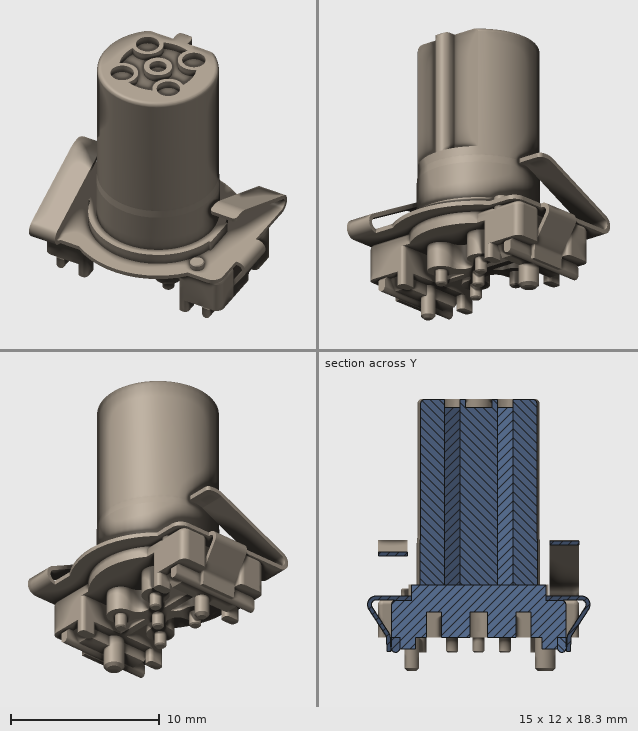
import cadquery as cq
import math

PAD_Z = 1.48
TAIL_Z = 1.26
BASE_Z = 2.25
FLANGE_Z = 3.99
PLATE_Z = 4.8
FLANGE_TOP = 5.84
CONE_Z = 8.6
CONE_TOP = 9.13
NOTCH_Z = 9.75
TOP_Z = 18.3

BASE_X = 6.75
BASE_Y = 3.62
BASE_CORNER = 0.53
TOP_FILLET = 0.31
FLANGE_R = 4.7
KEY_Y = 1.17
OPENING_X = 3.51
OPENING_EDGE = 0.3
CROSS_WALL = 0.55
COLUMN_R = 0.95
SLOT_Y = 1.5
SLOT_CORNER = 0.33
FOOT_X = 0.71
FOOT_Y = 1.19
FOOT_FILLET = 0.27
STAKE_AT = (-4.72, 3.11)
STAKE_R = 0.5
STAKE_TOP = 5.55
STAKE_CHAMFER = 0.07
RELIEF_R = 0.6
RELIEF_DEPTH = 0.31
PEG_X = 4.48
PEG_RADII = {-1: 0.7, 1: 0.5}
PEG_CHAMFER = 0.2

BAR_OUT = 5.87
BAR_IN = 5.3
BAR_Y = 3.5
BAR_FILLET = 0.27
BAR_CHAMFER = 0.2

PAD_IN = OPENING_X + FOOT_X
PAD_Y = 2.93
PAD_SLOPE = 57.0

INSERT_R = 4.1
INSERT_ROOT_R = 4.15
INSERT_FILLET = 0.3
FLAT_Y = 3.11
RIB_X = 0.57
RIB_FILLET = 0.55
FACE_DEPTH = 0.55
RECESS_R = 2.62
SOCKET_WALL_R = 1.08
CENTRE_WALL_R = 0.95

PITCH_R = 2.5
HEAD_R = 0.79
CENTRE_HEAD_R = 0.59
TAIL_R = 0.4
TAIL_CHAMFER = 0.1

SHEET = 0.3
PLATE_R = 6.0
EAR_Y = 3.99
SPRING_Y = 5.03
EAR_CORNER = 0.79
ARM_WIDTH = 2.0
ARM_BEND_R = 0.55
ARM_SLOPE = 25.0
ARM_LENGTH = 5.98
ARM_CREST_R = 1.52
ARM_TIP = 0.55
ARM_DROOP = 4.0
TIP_FILLET = 0.3
TAB_WIDTH = 2.76
TAB_REACH = 0.137
TAB_BEND_R = 0.45
TAB_SLOPE = 57.0
TAB_LENGTH = 2.05
LEG_BEND_R = 0.48
LEG_LEAN = 3.0
LEG_LENGTH = 0.97

PICK = 0.02
CORNER = PITCH_R / math.sqrt(2)
CORNER_POINTS = [(sx * CORNER, sy * CORNER) for sx in (-1, 1) for sy in (-1, 1)]
STAKE_POINTS = [STAKE_AT, (-STAKE_AT[0], -STAKE_AT[1])]


def box(x0, x1, y0, y1, z0, z1):
    return cq.Workplane("XY").box(x1 - x0, y1 - y0, z1 - z0, centered=False).translate((x0, y0, z0))


def cylinders(points, radius, z0, z1):
    return cq.Workplane("XY").workplane(offset=z0).pushPoints(points).circle(radius).extrude(z1 - z0)


def upright_edge(x, y):
    """Selector for the vertical edges of the base above its underside at a plan position."""
    low = (x - PICK, y - PICK, BASE_Z)
    return cq.selectors.BoxSelector(low, (x + PICK, y + PICK, PLATE_Z - PICK))


def both_ways(shape):
    """The shape together with its copy turned half a turn about Z."""
    return [shape, shape.rotate((0, 0, 0), (0, 0, 1), 180)]


def make_contact(point, head_radius):
    tail = cylinders([point], TAIL_R, TAIL_Z, FLANGE_TOP).faces("<Z").chamfer(TAIL_CHAMFER)
    head = cylinders([point], head_radius, FLANGE_TOP, TOP_Z - FACE_DEPTH)
    return tail.union(head)


def make_insert():
    body = cylinders([(0, 0)], INSERT_ROOT_R, FLANGE_TOP, CONE_Z)
    cone = body.faces(">Z").workplane().circle(INSERT_ROOT_R)
    cone = cone.workplane(offset=CONE_TOP - CONE_Z).circle(INSERT_R).loft(combine=False)
    barrel = cylinders([(0, 0)], INSERT_R, CONE_TOP, TOP_Z).faces(">Z").edges().fillet(INSERT_FILLET)
    body = body.union(cone).union(barrel)

    notch = box(-INSERT_R, INSERT_R, FLAT_Y, INSERT_R, NOTCH_Z, TOP_Z)
    rib = box(-RIB_X, RIB_X, FLAT_Y, INSERT_R, NOTCH_Z, TOP_Z).edges("|Z and >Y").fillet(RIB_FILLET)
    body = body.cut(notch.cut(rib))

    recess_z = TOP_Z - FACE_DEPTH
    recess = cylinders([(0, 0)], RECESS_R, recess_z, TOP_Z)
    recess = recess.cut(cylinders(CORNER_POINTS, SOCKET_WALL_R, recess_z, TOP_Z))
    recess = recess.cut(cylinders([(0, 0)], CENTRE_WALL_R, recess_z, TOP_Z))
    body = body.cut(recess)

    body = body.cut(cylinders(CORNER_POINTS, HEAD_R, FLANGE_TOP, TOP_Z))
    return body.cut(cylinders([(0, 0)], CENTRE_HEAD_R, FLANGE_TOP, TOP_Z))


def make_flange(z0, z1):
    disc = cylinders([(0, 0)], FLANGE_R, z0, z1)
    return disc.union(box(-FLANGE_R, FLANGE_R, -KEY_Y, KEY_Y, z0, z1))


def make_column_block():
    """Four contact columns joined by a core whose sides are hollowed between the columns."""
    core = box(-CORNER, CORNER, -CORNER, CORNER, BASE_Z, FLANGE_Z)
    hollows = [(0, CORNER), (0, -CORNER), (CORNER, 0), (-CORNER, 0)]
    core = core.cut(cylinders(hollows, CORNER - COLUMN_R, BASE_Z, FLANGE_Z))
    return core.union(cylinders(CORNER_POINTS, COLUMN_R, BASE_Z, FLANGE_Z))


def make_standoff():
    run = (BASE_Z - PAD_Z) / math.tan(math.radians(PAD_SLOPE))
    profile = [(-PAD_Y, BASE_Z), (PAD_Y, BASE_Z), (PAD_Y - run, PAD_Z), (run - PAD_Y, PAD_Z)]
    pad = cq.Workplane("YZ").polyline(profile).close().extrude(BAR_IN - PAD_IN)
    return pad.translate((-BAR_IN, 0, 0))


def make_base():
    body = box(-BASE_X, BASE_X, -BASE_Y, BASE_Y, BASE_Z, PLATE_Z)
    body = body.edges("|Z").fillet(BASE_CORNER)
    slot = box(-BASE_X, -BAR_OUT, -SLOT_Y, SLOT_Y, BASE_Z, PLATE_Z)
    for side in both_ways(slot):
        body = body.cut(side)
    for sx in (-1, 1):
        for sy in (-1, 1):
            body = body.edges(upright_edge(sx * BASE_X, sy * SLOT_Y)).fillet(SLOT_CORNER)
    body = body.faces(">Z").edges().fillet(TOP_FILLET)

    for sx in (-1, 1):
        for sy in (-1, 1):
            x0, x1 = sorted((sx * OPENING_X, sx * (OPENING_X + FOOT_X)))
            y0, y1 = sorted((sy * BASE_Y, sy * (BASE_Y - FOOT_Y)))
            foot = box(x0, x1, y0, y1, TAIL_Z, BASE_Z)
            body = body.union(foot.edges("|Z").fillet(FOOT_FILLET))
    opening = box(-OPENING_X, OPENING_X, -BASE_Y, BASE_Y, BASE_Z, FLANGE_Z)
    body = body.cut(opening)
    for sx in (-1, 1):
        for sy in (-1, 1):
            body = body.edges(upright_edge(sx * OPENING_X, sy * BASE_Y)).fillet(OPENING_EDGE)

    body = body.union(make_flange(FLANGE_Z, FLANGE_TOP))
    body = body.union(box(-OPENING_X, OPENING_X, -CROSS_WALL / 2, CROSS_WALL / 2, BASE_Z, FLANGE_Z))
    body = body.union(make_column_block())

    for point in STAKE_POINTS:
        relief = cq.Workplane("XY").workplane(offset=PLATE_Z - RELIEF_DEPTH).center(*point).circle(STAKE_R)
        relief = relief.workplane(offset=RELIEF_DEPTH).circle(RELIEF_R).loft()
        relief = relief.cut(make_flange(FLANGE_Z, FLANGE_TOP))
        stake = cylinders([point], STAKE_R, BASE_Z, STAKE_TOP).faces(">Z").chamfer(STAKE_CHAMFER)
        body = body.cut(relief).union(stake)

    for pad in both_ways(make_standoff()):
        body = body.union(pad)
    for side, radius in PEG_RADII.items():
        peg = cylinders([(side * PEG_X, 0)], radius, 0, BASE_Z).faces("<Z").chamfer(PEG_CHAMFER)
        body = body.union(peg)

    return body.cut(cylinders(CORNER_POINTS + [(0, 0)], TAIL_R, BASE_Z, FLANGE_TOP))


def make_bar():
    bar = box(-BAR_OUT, -BAR_IN, -BAR_Y, BAR_Y, TAIL_Z, BASE_Z)
    bar = bar.edges("|Y and <Z").fillet(BAR_FILLET)
    return bar.edges("|X and >Z").chamfer(BAR_CHAMFER)


def bent_strip(plane, start, width, moves):
    """Sheet strip leaving `start` along -x of the plane; a move is a length or a (radius, turn) bend."""
    x, y = start
    heading = math.radians(180)
    path = cq.Workplane(plane).moveTo(x, y)
    for move in moves:
        if isinstance(move, tuple):
            radius, turn = move
            turn = math.radians(turn)
            side = math.copysign(radius, turn)
            cx = x - side * math.sin(heading)
            cy = y + side * math.cos(heading)
            stops = []
            for angle in (heading + turn / 2, heading + turn):
                stops.append((cx + side * math.sin(angle), cy - side * math.cos(angle)))
            path = path.threePointArc(*stops)
            x, y = stops[1]
            heading += turn
        else:
            x += move * math.cos(heading)
            y += move * math.sin(heading)
            path = path.lineTo(x, y)
    section = cq.Plane(origin=plane.toWorldCoords(start), xDir=plane.zDir, normal=plane.xDir * -1)
    return cq.Workplane(section).rect(width, SHEET).sweep(path)


def make_clip():
    top = PLATE_Z + SHEET
    middle = PLATE_Z + SHEET / 2
    arm_in = BASE_X - ARM_WIDTH
    plate = cylinders([(0, 0)], PLATE_R, PLATE_Z, top)
    ears = box(-BASE_X, BASE_X, -EAR_Y, EAR_Y, PLATE_Z, top)
    arm_root = box(-BASE_X, 0, -SPRING_Y, 0, PLATE_Z, top)
    for corner in ("<X and >Y", ">X and <Y"):
        ears = ears.edges("|Z").edges(corner).fillet(EAR_CORNER)
    plate = plate.union(ears)

    arm_plane = cq.Plane(origin=(-(BASE_X + arm_in) / 2, 0, 0), xDir=(0, 1, 0), normal=(1, 0, 0))
    arm = bent_strip(
        arm_plane,
        (-SPRING_Y, middle),
        ARM_WIDTH,
        [(ARM_BEND_R, ARM_SLOPE - 180), ARM_LENGTH, (ARM_CREST_R, -ARM_SLOPE - ARM_DROOP), ARM_TIP],
    )
    arm = arm.faces(">Y").edges("not |X").fillet(TIP_FILLET)
    tab_plane = cq.Plane(origin=(0, 0, 0), xDir=(1, 0, 0), normal=(0, -1, 0))
    tab = bent_strip(
        tab_plane,
        (-BASE_X, middle),
        TAB_WIDTH,
        [
            TAB_REACH,
            (TAB_BEND_R, 180 - TAB_SLOPE),
            TAB_LENGTH,
            (LEG_BEND_R, TAB_SLOPE - 90 + LEG_LEAN),
            LEG_LENGTH,
        ],
    )
    for feature in (arm_root, arm, tab):
        for side in both_ways(feature):
            plate = plate.union(side)
    plate = plate.cut(make_flange(PLATE_Z, top))
    return plate.cut(cylinders(STAKE_POINTS, STAKE_R, PLATE_Z, top))


base = make_base()
insert = make_insert()
clip = make_clip()
bars = [bar.val() for bar in both_ways(make_bar())]
contacts = [make_contact(point, HEAD_R).val() for point in CORNER_POINTS]
contacts.append(make_contact((0, 0), CENTRE_HEAD_R).val())

result = cq.Compound.makeCompound([base.val(), insert.val(), clip.val(), *bars, *contacts])